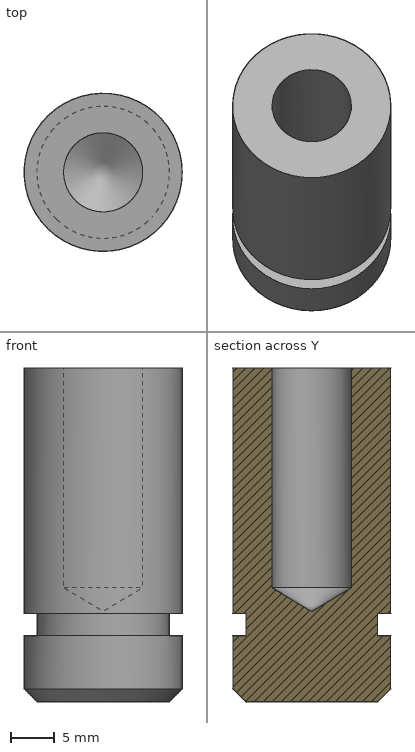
import cadquery as cq
import math

length = 38.0
outer_diameter = 18.0
end_chamfer = 1.5

groove_diameter = 15.1
groove_bottom = 7.52
groove_width = 2.5

hole_diameter = 9.0
hole_depth = 25.0
drill_point_angle = 118.0

outer_radius = outer_diameter / 2
hole_radius = hole_diameter / 2
drill_point_height = hole_radius / math.tan(math.radians(drill_point_angle / 2))


def make_body():
    return cq.Workplane("XY").circle(outer_radius).extrude(length).faces("<Z").chamfer(end_chamfer)


def make_groove():
    return (
        cq.Workplane("XY")
        .workplane(offset=groove_bottom)
        .circle(outer_radius)
        .circle(groove_diameter / 2)
        .extrude(groove_width)
    )


def make_drilled_hole():
    """Half profile of the hole with its conical end, revolved about Z."""
    hole_bottom = length - hole_depth
    return (
        cq.Workplane("XZ")
        .moveTo(0, length)
        .lineTo(hole_radius, length)
        .lineTo(hole_radius, hole_bottom)
        .lineTo(0, hole_bottom - drill_point_height)
        .close()
        .revolve(360, (0, 0, 0), (0, 1, 0))
    )


result = make_body().cut(make_groove()).cut(make_drilled_hole())